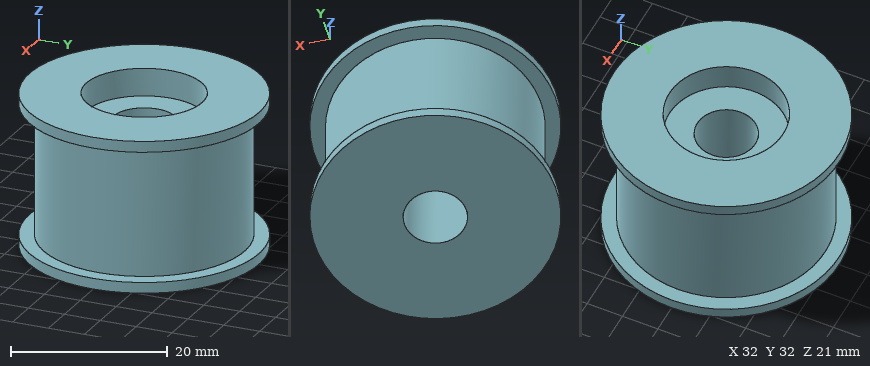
import cadquery as cq

flange_diameter = 32.0
height = 21.0
flange_thickness = 1.5
barrel_diameter = 28.0
bore_diameter = 8.2
recess_diameter = 16.1
recess_depth = 3.8

top = height / 2


def disc(diameter, bottom, thickness):
    """Solid cylinder on the Z axis, rising from the given level."""
    return cq.Workplane("XY").workplane(offset=bottom).circle(diameter / 2).extrude(thickness)


roller = disc(barrel_diameter, -top, height)
for flange_bottom in (-top, top - flange_thickness):
    roller = roller.union(disc(flange_diameter, flange_bottom, flange_thickness))

bore = disc(bore_diameter, -top, height)
recess = disc(recess_diameter, top - recess_depth, recess_depth)

result = roller.cut(bore).cut(recess)